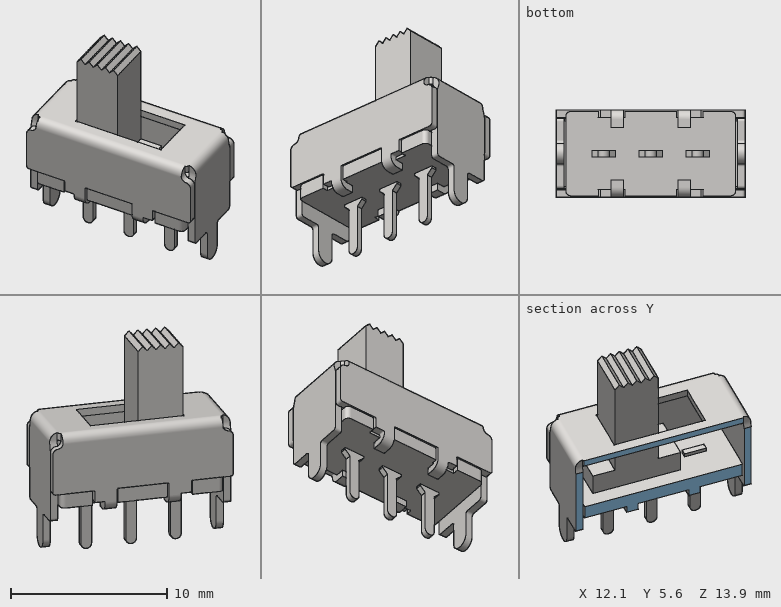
import cadquery as cq

length = 12.1
depth = 5.6
shell_top = 5.0
sheet = 0.5
inner_bend = 0.11
outer_bend = inner_bend + sheet

base_thickness = 1.0
base_length = 10.88
base_depth = 5.4
base_corner_radius = 0.3
notch_near = 1.65
notch_far = 3.35

window_length = 6.28
window_width = 3.09

relief_radius = 0.2
shoulder_height = 0.75
plate_corner_radius = 0.2
end_plate_width = 4.5
end_plate_bottom = -1.0
leg_width = 1.3
leg_bottom = -3.5

tab_near = 1.74
tab_far = 3.22
tab_bottom = 0.21
foot_far = 2.55
tab_fillet = 0.08
foot_lip = 0.5

terminal_pitch = 3.0
terminal_width = 0.72
terminal_thickness = 0.4
terminal_bottom = -3.89
shoulder_width = 1.5
shoulder_drop = 0.14
contact_height = 0.25

slider_top = 10.01
slider_left = -3.07
stem_length = 3.0
stem_width = 3.0
foot_overhang = 1.53
foot_height = 1.5
tooth_count = 5
tooth_depth = 0.3

half_length = length / 2
half_depth = depth / 2
sheet_underside = shell_top - sheet
relief_x = half_length - sheet - relief_radius
relief_y = half_depth - sheet - relief_radius
shoulder_bottom = sheet_underside - shoulder_height
contact_top = base_thickness + contact_height


def block(x0, x1, y0, y1, z0, z1):
    """Box between two opposite corners."""
    return cq.Workplane("XY").box(x1 - x0, y1 - y0, z1 - z0, centered=False).translate((x0, y0, z0))


def both_sides(half, plane):
    """A half together with its mirror image."""
    return half.union(half.mirror(plane))


def s_shoulder(outline, start, end):
    """S-curve of two equal arcs that leaves `start` and reaches `end` vertically."""
    middle = ((start[0] + end[0]) / 2, (start[1] + end[1]) / 2)
    return outline.tangentArcPoint(middle, relative=False).tangentArcPoint(end, relative=False)


def long_sheet():
    """Sheet folded about X: top, two long sides and the lips folded under the base."""
    outer = block(-half_length, half_length, -half_depth, half_depth, -sheet, shell_top)
    outer = outer.edges("|X").fillet(outer_bend)
    inner_y = half_depth - sheet
    inner = block(-half_length, half_length, -inner_y, inner_y, 0, sheet_underside)
    inner = inner.edges("|X").fillet(inner_bend)
    lip_y = half_depth - outer_bend - foot_lip
    opening = block(-half_length, half_length, -lip_y, lip_y, -sheet, 0)
    return outer.cut(inner).cut(opening)


def end_sheet():
    """Sheet folded about Y: top and two ends reaching down to the leg tips."""
    outer = block(-half_length, half_length, -half_depth, half_depth, leg_bottom, shell_top)
    outer = outer.edges("|Y and >Z").fillet(outer_bend)
    inner_x = half_length - sheet
    inner = block(-inner_x, inner_x, -half_depth, half_depth, leg_bottom, sheet_underside)
    inner = inner.edges("|Y and >Z").fillet(inner_bend)
    return outer.cut(inner)


def long_plate_outline():
    """Prism along Y with the outline of a long plate, its tabs and feet."""
    edge = base_thickness
    corner = plate_corner_radius
    outline = cq.Workplane("XZ").moveTo(0, shell_top).lineTo(relief_x, shell_top)
    outline = outline.lineTo(relief_x, sheet_underside)
    outline = s_shoulder(outline, (relief_x, sheet_underside), (half_length, shoulder_bottom))
    half = (
        outline.lineTo(half_length, edge + corner)
        .tangentArcPoint((half_length - corner, edge), relative=False)
        .lineTo(tab_far + tab_fillet, edge)
        .radiusArc((tab_far, edge - tab_fillet), -tab_fillet)
        .lineTo(tab_far, tab_bottom)
        .lineTo(foot_far + tab_fillet, tab_bottom)
        .radiusArc((foot_far, tab_bottom - tab_fillet), -tab_fillet)
        .lineTo(foot_far, -sheet)
        .lineTo(tab_near, -sheet)
        .lineTo(tab_near, edge - tab_fillet)
        .radiusArc((tab_near - tab_fillet, edge), -tab_fillet)
        .lineTo(0, edge)
        .close()
        .extrude(half_depth, both=True)
    )
    return both_sides(half, "YZ")


def end_plate_outline():
    """Prism along X with the outline of an end plate and its leg."""
    half_width = end_plate_width / 2
    half_leg = leg_width / 2
    corner = plate_corner_radius
    outline = cq.Workplane("YZ").moveTo(0, shell_top).lineTo(relief_y, shell_top)
    outline = outline.lineTo(relief_y, sheet_underside)
    outline = s_shoulder(outline, (relief_y, sheet_underside), (half_width, shoulder_bottom))
    half = (
        outline.lineTo(half_width, end_plate_bottom + corner)
        .tangentArcPoint((half_width - corner, end_plate_bottom), relative=False)
        .lineTo(half_leg + corner, end_plate_bottom)
        .radiusArc((half_leg, end_plate_bottom - corner), -corner)
        .lineTo(half_leg, leg_bottom + half_leg)
        .tangentArcPoint((0, leg_bottom), relative=False)
        .close()
        .extrude(half_length, both=True)
    )
    return both_sides(half, "XZ")


def corner_webs():
    """Fillets that round the four inner corners of the top sheet."""
    web = (
        cq.Workplane("XY")
        .workplane(offset=sheet_underside)
        .moveTo(relief_x, relief_y)
        .lineTo(relief_x + relief_radius, relief_y)
        .radiusArc((relief_x, relief_y + relief_radius), -relief_radius)
        .close()
        .extrude(sheet)
    )
    return both_sides(both_sides(web, "YZ"), "XZ")


def make_shell():
    """Folded shell with a window in its top for the slider."""
    long_part = long_sheet()
    end_part = end_sheet()
    webs = corner_webs().intersect(long_part).intersect(end_part)
    shell = long_part.intersect(long_plate_outline()).union(end_part.intersect(end_plate_outline()))
    shell = shell.union(webs)
    window_x = window_length / 2
    window_y = window_width / 2
    window = block(-window_x, window_x, -window_y, window_y, sheet_underside, shell_top)
    return shell.cut(window)


def make_base():
    """Plate that closes the shell, notched where the tabs pass."""
    base = cq.Workplane("XY").box(base_length, base_depth, base_thickness, centered=(True, True, False))
    base = base.edges("|Z").fillet(base_corner_radius)
    notch = block(notch_near, notch_far, half_depth - sheet, half_depth, 0, base_thickness)
    return base.cut(both_sides(both_sides(notch, "YZ"), "XZ"))


def make_terminal(x):
    """Flat terminal with a tapered shoulder and a round tip."""
    half_shoulder = shoulder_width / 2
    half_width = terminal_width / 2
    taper_end = -shoulder_drop - (half_shoulder - half_width)
    terminal = (
        cq.Workplane("XZ")
        .moveTo(-half_shoulder, contact_top)
        .lineTo(half_shoulder, contact_top)
        .lineTo(half_shoulder, -shoulder_drop)
        .lineTo(half_width, taper_end)
        .lineTo(half_width, terminal_bottom + half_width)
        .threePointArc((0, terminal_bottom), (-half_width, terminal_bottom + half_width))
        .lineTo(-half_width, taper_end)
        .lineTo(-half_shoulder, -shoulder_drop)
        .close()
        .extrude(terminal_thickness / 2, both=True)
    )
    return terminal.translate((x, 0, 0))


def make_housing():
    """Shell, base and three terminals as one body."""
    housing = make_shell().union(make_base())
    for position in (-1, 0, 1):
        housing = housing.union(make_terminal(position * terminal_pitch))
    return housing


def make_slider():
    """Stem with a serrated top on a longer foot that rests on the terminals."""
    pitch = stem_length / tooth_count
    valley = slider_top - tooth_depth
    right = slider_left + stem_length
    foot_top = contact_top + foot_height
    outline = cq.Workplane("XZ").moveTo(slider_left, foot_top).lineTo(slider_left, valley)
    for tooth in range(tooth_count):
        start = slider_left + tooth * pitch
        outline = outline.lineTo(start + pitch / 2, slider_top).lineTo(start + pitch, valley)
    outline = (
        outline.lineTo(right, foot_top)
        .lineTo(right + foot_overhang, foot_top)
        .lineTo(right + foot_overhang, contact_top)
        .lineTo(slider_left - foot_overhang, contact_top)
        .lineTo(slider_left - foot_overhang, foot_top)
        .close()
    )
    return outline.extrude(stem_width / 2, both=True)


housing = make_housing()
slider = make_slider()
result = cq.Compound.makeCompound([housing.solids().val(), slider.val()])